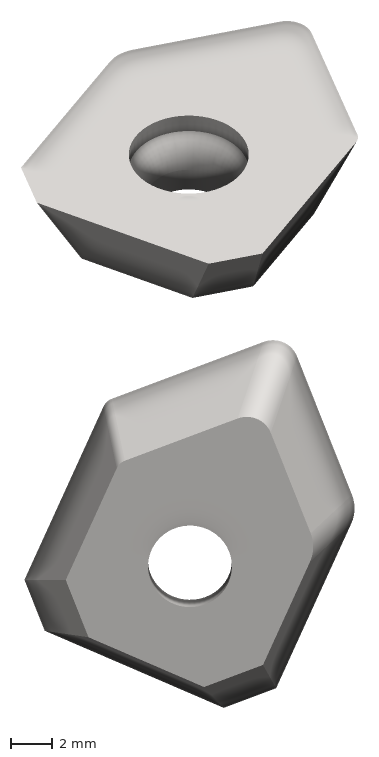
import cadquery as cq
import math

thickness = 3.98
half_width = 6.7
total_length = 17.91
chamfer_leg = 1.93

tip_radius = 1.25
left_shoulder_radius = 1.88
right_shoulder_radius = 0.72

straight_flank_inset = 1.45
diagonal_flank_inset = 2.22

recess_radius = 2.92
recess_depth = 0.99
seat_top_radius = 2.8
seat_top_depth = 1.11
bore_radius = 2.05
seat_bottom_depth = 2.72

tip_y = total_length - half_width
sharp_tip_y = tip_y + tip_radius * (math.sqrt(2) - 1)


def outline(z, straight_inset, diagonal_inset):
    """Pointed outline at height z, with its sides moved inward."""
    side = half_width - straight_inset
    diagonal_shift = diagonal_inset * math.sqrt(2)
    apex = sharp_tip_y - diagonal_shift
    shoulder = apex - side
    chamfer_sum = 2 * half_width - chamfer_leg - diagonal_shift
    chamfer_end = chamfer_sum - side

    def shoulder_points(radius, direction):
        """Side tangent, arc middle and tip-flank tangent of a rounded shoulder."""
        tangent = radius * math.tan(math.pi / 8)
        leg = tangent / math.sqrt(2)
        center_x = side - radius
        center_y = shoulder - tangent
        middle_x = center_x + radius * math.cos(math.pi / 8)
        middle_y = center_y + radius * math.sin(math.pi / 8)
        return (
            (direction * side, center_y),
            (direction * middle_x, middle_y),
            (direction * (side - leg), shoulder + leg),
        )

    right_start, right_middle, right_end = shoulder_points(right_shoulder_radius, 1)
    left_start, left_middle, left_end = shoulder_points(left_shoulder_radius, -1)
    tip_leg = tip_radius / math.sqrt(2)
    tip_top = apex - tip_radius * (math.sqrt(2) - 1)

    sketch = (
        cq.Workplane("XY", origin=(0, 0, z))
        .moveTo(-chamfer_end, -side)
        .lineTo(chamfer_end, -side)
        .lineTo(side, -chamfer_end)
        .lineTo(*right_start)
        .threePointArc(right_middle, right_end)
        .lineTo(tip_leg, apex - tip_leg)
        .threePointArc((0, tip_top), (-tip_leg, apex - tip_leg))
        .lineTo(*left_end)
        .threePointArc(left_middle, left_start)
        .lineTo(-side, -chamfer_end)
        .close()
    )
    return sketch.val()


def insert_body():
    """Tapered plate between the smaller bottom outline and the top outline."""
    bottom = outline(0, straight_flank_inset, diagonal_flank_inset)
    top = outline(thickness, 0, 0)
    return cq.Workplane(cq.Solid.makeLoft([bottom, top], True))


def screw_hole():
    """Revolved hole whose convex seat runs smoothly into the bore."""
    seat_width = seat_top_radius - bore_radius
    seat_height = seat_bottom_depth - seat_top_depth
    seat_radius = (seat_width**2 + seat_height**2) / (2 * seat_width)
    half_angle = math.asin(seat_height / seat_radius) / 2
    seat_bottom_z = thickness - seat_bottom_depth
    seat_middle = (
        bore_radius + seat_radius * (1 - math.cos(half_angle)),
        seat_bottom_z + seat_radius * math.sin(half_angle),
    )
    return (
        cq.Workplane("XZ")
        .moveTo(0, 0)
        .lineTo(bore_radius, 0)
        .lineTo(bore_radius, seat_bottom_z)
        .threePointArc(seat_middle, (seat_top_radius, thickness - seat_top_depth))
        .lineTo(recess_radius, thickness - recess_depth)
        .lineTo(recess_radius, thickness)
        .lineTo(0, thickness)
        .close()
        .revolve(360, (0, 0), (0, 1))
    )


result = insert_body().cut(screw_hole())